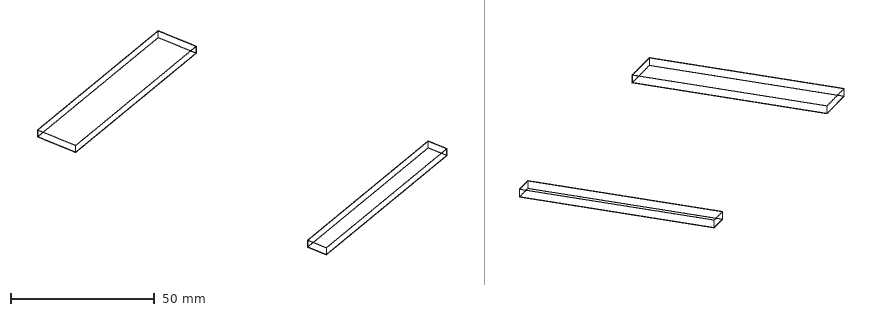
import cadquery as cq

overall_width = 123.0
bar_length = 73.0
bar_thickness = 3.0

wide_bar_width = 16.2
narrow_bar_width = 8.0


def flat_bar(width, center_x):
    """Plain rectangular bar running along Y, resting on Z = 0."""
    return (
        cq.Workplane("XY")
        .center(center_x, 0)
        .rect(width, bar_length)
        .extrude(bar_thickness)
    )


wide_bar = flat_bar(wide_bar_width, (wide_bar_width - overall_width) / 2)
narrow_bar = flat_bar(narrow_bar_width, (overall_width - narrow_bar_width) / 2)

result = cq.Compound.makeCompound([wide_bar.val(), narrow_bar.val()])